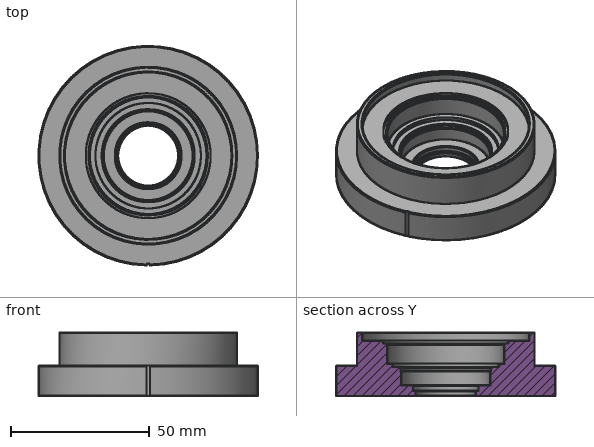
import cadquery as cq

flange_radius = 39.5
flange_height = 11.0
boss_radius = 32.0
total_height = 23.0
rim_chamfer = 0.3

recess_radius = 30.0
recess_floor = 20.0
relief_radius = 22.5
relief_floor = 19.0
upper_seat_radius = 21.0
upper_seat_floor = 11.7
middle_step_radius = 19.0
middle_step_floor = 10.5
lower_entry_radius = 16.25
lower_entry_floor = 9.0
lower_seat_radius = 16.0
lower_seat_floor = 4.0
counterbore_radius = 11.75
counterbore_floor = 2.0
through_radius = 10.8
seat_chamfer = 0.5
lower_seat_chamfer = 0.2
bore_chamfer = 0.3

groove_radius = 0.6


def disc(radius, height, chamfer_edges):
    """Cylinder standing on Z = 0 with the selected edges broken."""
    body = cq.Workplane("XY").circle(radius).extrude(height)
    return body.faces(chamfer_edges).edges().chamfer(rim_chamfer)


def bore_step(radius, floor, mouth, chamfer=0.0):
    """Cutting tool from floor up to mouth, with a 45 degree lead-in when chamfered."""
    tool = cq.Workplane("XY").workplane(offset=floor).circle(radius).extrude(mouth - floor)
    if chamfer:
        lead_in = cq.Solid.makeCone(
            radius,
            radius + chamfer,
            chamfer,
            pnt=cq.Vector(0, 0, mouth - chamfer),
        )
        tool = tool.union(cq.Workplane(lead_in))
    return tool


def cut_stepped_bore(body):
    """Cut the concentric steps, each opening into the floor of the one above."""
    steps = [
        (recess_radius, recess_floor, rim_chamfer),
        (relief_radius, relief_floor, 0.0),
        (upper_seat_radius, upper_seat_floor, seat_chamfer),
        (middle_step_radius, middle_step_floor, 0.0),
        (lower_entry_radius, lower_entry_floor, seat_chamfer),
        (lower_seat_radius, lower_seat_floor, lower_seat_chamfer),
        (counterbore_radius, counterbore_floor, bore_chamfer),
        (through_radius, 0.0, bore_chamfer),
    ]
    mouth = total_height
    for radius, floor, chamfer in steps:
        body = body.cut(bore_step(radius, floor, mouth, chamfer))
        mouth = floor
    return body


def break_underside_bore_edge(body):
    """Chamfer the through bore where it leaves the bottom face."""
    countersink = cq.Solid.makeCone(through_radius + bore_chamfer, through_radius, bore_chamfer)
    return body.cut(cq.Workplane(countersink))


def cut_index_groove(body):
    """Cut a half-round vertical groove through the flange rim."""
    groove = cq.Workplane("XY").center(0, -flange_radius).circle(groove_radius).extrude(flange_height)
    return body.cut(groove)


flange = disc(flange_radius, flange_height, "<Z or >Z")
boss = disc(boss_radius, total_height, ">Z")
bored_body = break_underside_bore_edge(cut_stepped_bore(flange.union(boss)))
result = cut_index_groove(bored_body)